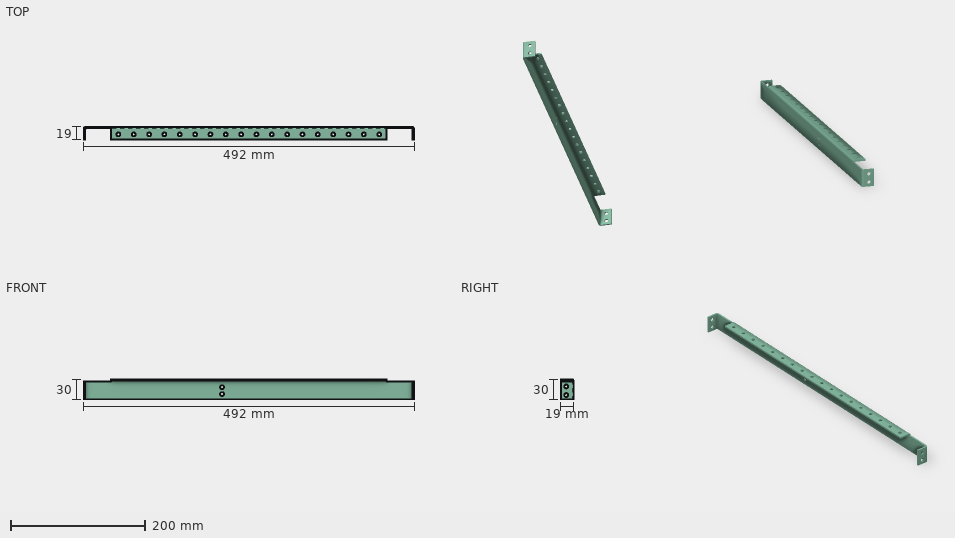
import cadquery as cq

length = 492.0
depth = 19.0
height = 30.0

sheet = 2.5
inner_radius = 1.0
outer_radius = sheet + inner_radius

web_height = height - outer_radius
flange_length = 410.5

hole_diameter = 5.5
hole_from_front = 8.0
flange_hole_count = 18
flange_hole_span = 388.0
flange_hole_pitch = flange_hole_span / (flange_hole_count - 1)
end_hole_heights = (6.5, 19.0)
web_hole_heights = (8.0, 18.0)
web_hole_x = -40.0

front_y = -depth / 2
back_y = depth / 2
hole_y = front_y + hole_from_front


def folded_channel():
    """U-shaped strip: the web with an end tab folded forward at each end."""
    outer = (
        cq.Workplane("XY")
        .box(length, depth, web_height, centered=(True, True, False))
        .edges("|Z and >Y")
        .fillet(outer_radius)
    )
    inner = (
        cq.Workplane("XY")
        .box(length - 2 * sheet, depth, web_height, centered=(True, True, False))
        .edges("|Z and >Y")
        .fillet(inner_radius)
        .translate((0, -sheet, 0))
    )
    return outer.cut(inner)


def top_flange():
    """Shelf folded forward from the top of the web, including its bend."""
    bend_y = back_y - outer_radius
    arc_reach = 0.5 ** 0.5
    return (
        cq.Workplane("YZ", origin=(-flange_length / 2, 0, 0))
        .moveTo(back_y, web_height)
        .threePointArc(
            (bend_y + outer_radius * arc_reach, web_height + outer_radius * arc_reach),
            (bend_y, height),
        )
        .lineTo(front_y, height)
        .lineTo(front_y, height - sheet)
        .lineTo(bend_y, height - sheet)
        .threePointArc(
            (bend_y + inner_radius * arc_reach, web_height + inner_radius * arc_reach),
            (back_y - sheet, web_height),
        )
        .close()
        .extrude(flange_length)
    )


def flange_holes():
    """Row of vertical holes along the top flange."""
    return (
        cq.Workplane("XY", origin=(0, hole_y, web_height))
        .rarray(flange_hole_pitch, 5, flange_hole_count, 1)
        .circle(hole_diameter / 2)
        .extrude(outer_radius)
    )


def end_holes():
    """Holes running lengthwise through both end tabs."""
    return (
        cq.Workplane("YZ")
        .pushPoints([(hole_y, z) for z in end_hole_heights])
        .circle(hole_diameter / 2)
        .extrude(length / 2, both=True)
    )


def web_holes():
    """Pair of holes through the web, one above the other."""
    return (
        cq.Workplane("XZ")
        .pushPoints([(web_hole_x, z) for z in web_hole_heights])
        .circle(hole_diameter / 2)
        .extrude(depth / 2, both=True)
    )


result = (
    folded_channel()
    .union(top_flange())
    .cut(flange_holes())
    .cut(end_holes())
    .cut(web_holes())
)